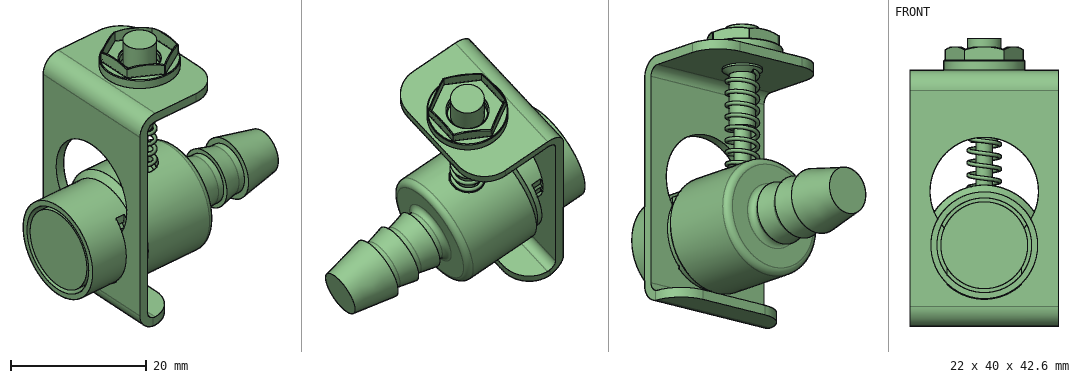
import cadquery as cq
import math

TOTAL_HEIGHT = 42.6

bracket_width = 22.0
bracket_height = 37.9
sheet = 1.5
bend_radius = 3.0
bracket_front = -9.4
bracket_back = bracket_front + sheet
top_flange_end = 6.5
bottom_flange_end = -1.9
flange_corner_radius = 5.0
keyhole_diameter = 16.0
keyhole_center_z = 20.0
slot_width = 11.08

axis_z = 12.0
body_radius = 17.8 / 2
body_half_length = 7.0
body_rear_fillet = 1.02
tube_radius = 15.8 / 2
tube_end = -15.98
tube_bore_diameter = 14.0
plug_diameter = 12.85
plug_recess = 0.13
groove_clearance = 0.13
neck_radius = 8.0 / 2
neck_fillet = 0.95
barb_radius = 4.73
tip_barb_radius = 4.95
tip_radius = 3.55
tip_end = 24.03
tip_barb_start = 17.0
short_barbs = [(8.95, 11.93), (12.95, 15.95)]

pin_diameter = 2.5
sleeve_diameter = 3.9
sleeve_bottom = 27.22
collar_diameter = 6.0
collar_rim = 0.3
collar_cone_height = 0.7
stud_end_diameter = 5.03
wire_diameter = 0.6
spring_mean_radius = 2.28
spring_pitch = 1.85
spring_turns = 9
spring_bottom = 19.15
spring_seat_diameter = 5.5

washer_diameter = 12.0
washer_height = 1.5
washer_edge = 0.13
nut_top = 41.35
across_flats = 10.05
nut_wall = 0.15
nut_chamfer_angle = 30
nut_bore_diameter = 6.0
nut_bore_mouth = 6.4


def cylinder_z(diameter, bottom, top):
    return cq.Workplane("XY", origin=(0, 0, bottom)).circle(diameter / 2).extrude(top - bottom)


def cylinder_y(diameter, start, end):
    """Cylinder on the hose axis between two Y positions, start being the larger."""
    return cq.Workplane("XZ", origin=(0, start, axis_z)).circle(diameter / 2).extrude(start - end)


def flange_outline(end, bottom, top):
    """Block with the plan shape of the bracket, rounded at the free end of a flange."""
    length = end - bracket_front
    return (
        cq.Workplane("XY", origin=(0, bracket_front + length / 2, bottom))
        .rect(bracket_width, length)
        .extrude(top - bottom)
        .edges("|Z and >Y")
        .fillet(flange_corner_radius)
    )


def make_bracket():
    middle = bracket_height / 2
    profile = (
        cq.Workplane("YZ", origin=(-bracket_width / 2, 0, 0))
        .moveTo(bottom_flange_end, 0)
        .lineTo(bracket_front, 0)
        .lineTo(bracket_front, bracket_height)
        .lineTo(top_flange_end, bracket_height)
        .lineTo(top_flange_end, bracket_height - sheet)
        .lineTo(bracket_back, bracket_height - sheet)
        .lineTo(bracket_back, sheet)
        .lineTo(bottom_flange_end, sheet)
        .close()
        .extrude(bracket_width)
    )
    inner_corners = cq.selectors.BoxSelector(
        (-bracket_width, bracket_back - sheet / 2, sheet / 2),
        (bracket_width, bracket_back + sheet / 2, bracket_height - sheet / 2),
    )
    bent = profile.edges("|X and <Y").fillet(bend_radius)
    bent = bent.edges("|X").edges(inner_corners).fillet(bend_radius - sheet)
    plan = flange_outline(bottom_flange_end, 0, middle).union(
        flange_outline(top_flange_end, middle, bracket_height)
    )
    return bent.intersect(plan).cut(keyhole())


def keyhole():
    """Round opening with a straight slot below it that ends round the hose axis."""
    wall = cq.Workplane("XZ", origin=(0, bracket_back, 0))
    opening = wall.center(0, keyhole_center_z).circle(keyhole_diameter / 2).extrude(sheet)
    slot = cylinder_y(keyhole_diameter, bracket_back, bracket_front).union(
        wall.center(0, (axis_z + keyhole_center_z) / 2)
        .rect(slot_width, keyhole_center_z - axis_z)
        .extrude(sheet)
    )
    slot_limits = wall.center(0, bracket_height / 2).rect(slot_width, bracket_height).extrude(sheet)
    return opening.union(slot.intersect(slot_limits))


def make_hose_body():
    front_chamfer = body_radius - tube_radius
    arc_middle = neck_fillet * (1 - math.sqrt(0.5))
    fillet_middle = body_rear_fillet * (1 - math.sqrt(0.5))
    profile = (
        cq.Workplane("XY", origin=(0, 0, axis_z))
        .moveTo(0, tube_end)
        .lineTo(tube_radius, tube_end)
        .lineTo(tube_radius, -body_half_length)
        .lineTo(body_radius, -body_half_length + front_chamfer)
        .lineTo(body_radius, body_half_length - body_rear_fillet)
        .threePointArc(
            (body_radius - fillet_middle, body_half_length - fillet_middle),
            (body_radius - body_rear_fillet, body_half_length),
        )
        .lineTo(neck_radius + neck_fillet, body_half_length)
        .threePointArc(
            (neck_radius + arc_middle, body_half_length + arc_middle),
            (neck_radius, body_half_length + neck_fillet),
        )
    )
    for start, end in short_barbs:
        profile = profile.lineTo(neck_radius, start).lineTo(barb_radius, start).lineTo(neck_radius, end)
    profile = (
        profile.lineTo(neck_radius, tip_barb_start)
        .lineTo(tip_barb_radius, tip_barb_start)
        .lineTo(tip_radius, tip_end)
        .lineTo(0, tip_end)
        .close()
    )
    body = profile.revolve(360, (0, 0, 0), (0, 1, 0))

    groove_back = bracket_back + groove_clearance
    plug = cylinder_y(plug_diameter, groove_back, tube_end + plug_recess)
    body = body.cut(cylinder_y(tube_bore_diameter, groove_back, tube_end)).union(plug)

    body = body.cut(cylinder_z(spring_seat_diameter, spring_bottom, axis_z + body_radius))

    ring = cylinder_y(2 * body_radius, groove_back, bracket_front)
    core = (
        cq.Workplane("XZ", origin=(0, groove_back, axis_z))
        .rect(slot_width, 2 * body_radius)
        .extrude(groove_back - bracket_front)
    )
    return body.cut(ring.cut(core))


def make_stud():
    flange_bottom = bracket_height - sheet
    collar_bottom = flange_bottom - collar_rim
    pin = cylinder_z(pin_diameter, axis_z, flange_bottom)
    sleeve = cylinder_z(sleeve_diameter, sleeve_bottom, flange_bottom)
    collar = cylinder_z(collar_diameter, collar_bottom, flange_bottom)
    cone = (
        cq.Workplane("XY", origin=(0, 0, collar_bottom))
        .circle(collar_diameter / 2)
        .workplane(offset=-collar_cone_height)
        .circle(sleeve_diameter / 2)
        .loft()
    )
    end = cylinder_z(stud_end_diameter, flange_bottom, TOTAL_HEIGHT)
    return pin.union(sleeve).union(collar).union(cone).union(end)


def make_spring():
    """Left-hand coil that starts on the pocket floor and ends against the collar, both on the +Y side."""
    path = cq.Wire.makeHelix(
        spring_pitch, spring_pitch * spring_turns, spring_mean_radius, lefthand=True
    )
    coil = (
        cq.Workplane("XZ")
        .center(spring_mean_radius, 0)
        .circle(wire_diameter / 2)
        .sweep(cq.Workplane(obj=path), isFrenet=True)
    )
    return coil.rotate((0, 0, 0), (0, 0, 1), 90).translate((0, 0, spring_bottom))


def make_nut():
    """Washer flange carrying a thin hexagonal rim, with a countersunk hole round the stud."""
    washer_top = bracket_height + washer_height
    across_corners = across_flats / math.cos(math.radians(30))
    inner_corners = (across_flats - 2 * nut_wall) / math.cos(math.radians(30))
    rim_height = nut_top - washer_top
    rim = (
        cq.Workplane("XY", origin=(0, 0, washer_top))
        .polygon(6, across_corners)
        .polygon(6, inner_corners)
        .extrude(rim_height)
    )
    bevel_reach = (across_corners - across_flats) / 2
    bevel_drop = bevel_reach * math.tan(math.radians(nut_chamfer_angle))
    envelope = cylinder_z(across_corners, washer_top, nut_top).faces(">Z").chamfer(bevel_drop, bevel_reach)

    washer = cylinder_z(washer_diameter, bracket_height, washer_top).faces(">Z").chamfer(washer_edge)
    countersink = (nut_bore_mouth - nut_bore_diameter) / 2
    bore = cylinder_z(nut_bore_diameter, bracket_height, washer_top)
    mouth = (
        cylinder_z(nut_bore_mouth, washer_top - 2 * countersink, washer_top)
        .faces("<Z")
        .chamfer(countersink)
    )
    return washer.cut(bore).cut(mouth).union(rim.intersect(envelope))


result = (
    make_bracket()
    .union(make_hose_body())
    .union(make_nut())
    .union(make_stud())
    .union(make_spring())
)